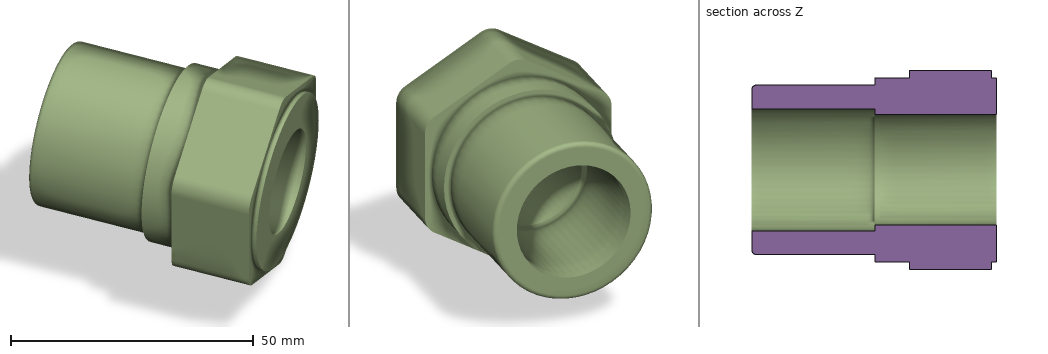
import cadquery as cq

total_length = 50.5
spigot_diameter = 35.0
spigot_length = 25.4
spigot_edge_radius = 1.0
body_diameter = 38.0
hex_across_flats = 41.0
hex_corner_radius = 4.0
hex_length = 16.9
end_collar_length = 1.1
socket_diameter = 25.0
socket_depth = spigot_length
bore_diameter = 22.6

x_start = -total_length / 2
x_end = total_length / 2
x_shoulder = x_start + spigot_length
x_hex = x_end - end_collar_length - hex_length


def cylinder(diameter, x_from, length):
    """Solid cylinder along +X, starting at x_from."""
    return cq.Workplane("YZ", origin=(x_from, 0, 0)).circle(diameter / 2).extrude(length)


def spigot():
    """Plain tube end with a rounded outer rim."""
    blank = cylinder(spigot_diameter, x_start, spigot_length)
    return blank.faces("<X").edges().fillet(spigot_edge_radius)


def hexagon():
    """Wrench hexagon with flats facing +/-Y and rounded corners at +/-Z."""
    sides = 6
    return (
        cq.Workplane("YZ", origin=(x_hex, 0, 0))
        .polygon(sides, hex_across_flats, circumscribed=True)
        .extrude(hex_length)
        .edges("|X")
        .fillet(hex_corner_radius)
    )


def body():
    """Round body that carries the hexagon and shows as a collar at both its ends."""
    return cylinder(body_diameter, x_shoulder, x_end - x_shoulder)


outside = spigot().union(body()).union(hexagon())

socket = cylinder(socket_diameter, x_start, socket_depth)
bore = cylinder(bore_diameter, x_start, total_length)

result = outside.cut(socket).cut(bore)